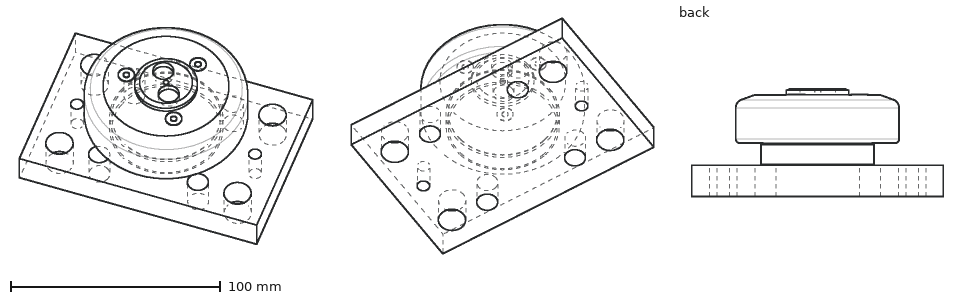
import cadquery as cq
import math

plate_length = 120
plate_width = 80.0
plate_height = 15.0
mount_diameter = 13.0
mount_x = 45.0
hole_y = 25.0
dowel_diameter = 6
inner_diameter = 10.0
inner_x = 25.0

neck_diameter = 54
neck_end_diameter = 52.0
neck_bevel_height = 0.4
neck_top = 25.1

roller_diameter = 78
roller_bottom = 25.5
roller_top = 48.5
roller_face_diameter = 60
crown_angle = 20
crown_radius = 4.2
lower_edge_radius = 2.0

overall_height = 51.5
cap_diameter = 30
cap_face_diameter = 25.2
cap_bevel_height = 0.8
spanner_diameter = 10.0
spanner_offset = 7.0
spanner_angle = 120
spanner_depth = 3.0
centre_diameter = 2.5
centre_depth = 3.0

screw_count = 3
screw_diameter = 7.8
screw_circle_radius = 20.0
screw_height = 0.4
socket_diameter = 3.0


def cylinder(diameter, bottom, top, points=((0, 0),)):
    """Upright cylinders at the given points between two heights."""
    return (
        cq.Workplane("XY", origin=(0, 0, bottom))
        .pushPoints(points)
        .circle(diameter / 2)
        .extrude(top - bottom)
    )


def polar(radius, degrees):
    angle = math.radians(degrees)
    return (radius * math.cos(angle), radius * math.sin(angle))


def mirrored(x, y):
    """The four points symmetric about both plate axes."""
    return [(sx * x, sy * y) for sx in (-1, 1) for sy in (-1, 1)]


def make_plate():
    plate = cq.Workplane("XY").box(
        plate_length, plate_width, plate_height, centered=(True, True, False)
    )
    plate = plate.cut(cylinder(mount_diameter, 0, plate_height, mirrored(mount_x, hole_y)))
    plate = plate.cut(cylinder(inner_diameter, 0, plate_height, mirrored(inner_x, hole_y)))
    dowel_points = [(-mount_x, 0), (mount_x, 0)]
    return plate.cut(cylinder(dowel_diameter, 0, plate_height, dowel_points))


def make_neck():
    """Neck bevelled at both ends, with a thin spacer reaching the roller."""
    radius = neck_diameter / 2
    end_radius = neck_end_diameter / 2
    return (
        cq.Workplane("XZ")
        .moveTo(0, plate_height)
        .lineTo(end_radius, plate_height)
        .lineTo(radius, plate_height + neck_bevel_height)
        .lineTo(radius, neck_top - neck_bevel_height)
        .lineTo(end_radius, neck_top)
        .lineTo(end_radius, roller_bottom)
        .lineTo(0, roller_bottom)
        .close()
        .revolve(360, (0, 0, 0), (0, 1, 0))
    )


def make_roller():
    """Turned roller: conical crown blended into the rim, rounded lower edge."""
    rim = roller_diameter / 2
    face = roller_face_diameter / 2
    slope = math.radians(crown_angle)
    blend_r = rim - crown_radius
    blend_z = (
        roller_top - (blend_r - face) * math.tan(slope) - crown_radius / math.cos(slope)
    )

    def blend_point(angle):
        return (
            blend_r + crown_radius * math.sin(angle),
            blend_z + crown_radius * math.cos(angle),
        )

    lower_r = rim - lower_edge_radius
    lower_z = roller_bottom + lower_edge_radius
    lower_mid = lower_edge_radius * math.sqrt(0.5)
    return (
        cq.Workplane("XZ")
        .moveTo(0, roller_bottom)
        .lineTo(lower_r, roller_bottom)
        .threePointArc((lower_r + lower_mid, lower_z - lower_mid), (rim, lower_z))
        .lineTo(rim, blend_z)
        .threePointArc(blend_point((slope + math.pi / 2) / 2), blend_point(slope))
        .lineTo(face, roller_top)
        .lineTo(0, roller_top)
        .close()
        .revolve(360, (0, 0, 0), (0, 1, 0))
    )


def make_cap():
    radius = cap_diameter / 2
    return (
        cq.Workplane("XZ")
        .moveTo(0, roller_top)
        .lineTo(radius, roller_top)
        .lineTo(radius, overall_height - cap_bevel_height)
        .lineTo(cap_face_diameter / 2, overall_height)
        .lineTo(0, overall_height)
        .close()
        .revolve(360, (0, 0, 0), (0, 1, 0))
    )


def cut_cap_holes(body):
    spanner_points = [polar(spanner_offset, spanner_angle + turn) for turn in (0, 180)]
    body = body.cut(
        cylinder(
            spanner_diameter, overall_height - spanner_depth, overall_height, spanner_points
        )
    )
    return body.cut(cylinder(centre_diameter, overall_height - centre_depth, overall_height))


def add_screws(body):
    points = [
        polar(screw_circle_radius, 180 + index * 360 / screw_count)
        for index in range(screw_count)
    ]
    screw_top = roller_top + screw_height
    body = body.union(cylinder(screw_diameter, roller_top, screw_top, points))
    return body.cut(cylinder(socket_diameter, roller_top, screw_top, points))


body = make_plate().union(make_neck()).union(make_roller()).union(make_cap())
result = add_screws(cut_cap_holes(body))